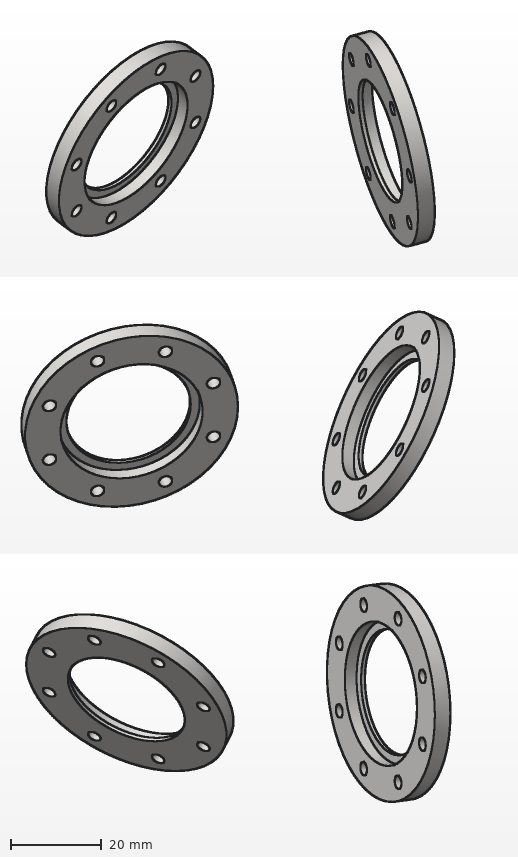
import cadquery as cq

outer_diameter = 48.0
thickness = 4.0
bore_diameter = 28.0
recess_diameter = 32.0
lip_thickness = 1.0
bolt_hole_diameter = 3.0
bolt_circle_diameter = 40.0
bolt_count = 8
first_bolt_angle = 180 / bolt_count

ring = (
    cq.Workplane("YZ", origin=(-thickness / 2, 0, 0))
    .circle(outer_diameter / 2)
    .circle(bore_diameter / 2)
    .extrude(thickness)
)

recess = (
    cq.Workplane("YZ", origin=(lip_thickness - thickness / 2, 0, 0))
    .circle(recess_diameter / 2)
    .extrude(thickness - lip_thickness)
)

bolt_holes = (
    cq.Workplane("YZ")
    .polarArray(bolt_circle_diameter / 2, first_bolt_angle, 360, bolt_count)
    .circle(bolt_hole_diameter / 2)
    .extrude(thickness, both=True)
)

result = ring.cut(recess).cut(bolt_holes)